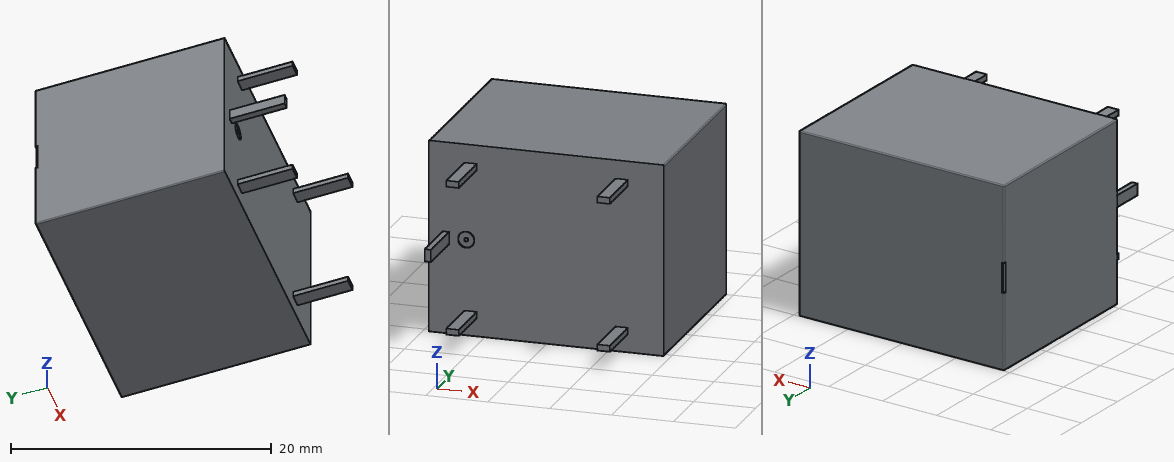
import cadquery as cq

case_length = 19.0
case_depth = 15.5
case_height = 15.5
edge_radius = 0.1

pin_length = 4.5
pin_width = 1.0
pin_thickness = 0.5
contact_x = 6.1
contact_z = 6.0
common_pin_x = -8.1

vent_x = -6.48
vent_diameter = 1.3
vent_depth = 0.1
pip_diameter = 0.3

notch_height = 2.5
notch_depth = 0.2

overall_depth = case_depth + pin_length
back_y = overall_depth / 2
pin_face_y = back_y - case_depth


def make_case():
    """Box with every edge rounded except those around the pin face."""
    box = cq.Workplane("XY").box(case_length, case_depth, case_height)
    box = box.translate((0, pin_face_y + case_depth / 2, 0))
    return box.edges("|Y or >Y").fillet(edge_radius)


def make_pin(x, z, size_x, size_z):
    """Rectangular pin projecting toward -Y from the pin face."""
    pin = cq.Workplane("XY").box(size_x, pin_length, size_z)
    return pin.translate((x, pin_face_y - pin_length / 2, z))


def make_vent_recess():
    """Ring-shaped cutter that leaves the central pip standing."""
    face = cq.Workplane("XZ", origin=(vent_x, pin_face_y, 0))
    return face.circle(vent_diameter / 2).circle(pip_diameter / 2).extrude(-vent_depth)


def make_notch():
    """Square-section cutter along the middle of the -X, +Y edge."""
    cutter = cq.Workplane("XY").box(2 * notch_depth, 2 * notch_depth, notch_height)
    return cutter.translate((-case_length / 2, back_y, 0))


result = make_case()
result = result.cut(make_vent_recess())
result = result.cut(make_notch())

for side_x in (-1, 1):
    for side_z in (-1, 1):
        result = result.union(make_pin(side_x * contact_x, side_z * contact_z, pin_width, pin_thickness))
result = result.union(make_pin(common_pin_x, 0, pin_thickness, pin_width))